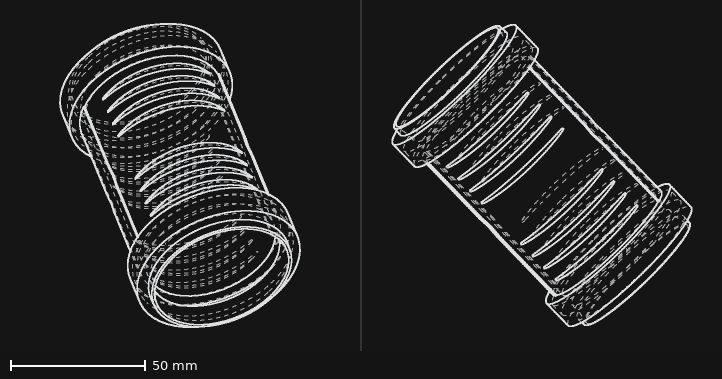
import cadquery as cq

length = 103.0
half_length = length / 2
bore_radius = 25.3

tube_radius = 27.5
waist_radius = 27.2
waist_half_width = 4.5

lip_length = 3.9
lip_tip_radius = 27.3
collar_radius = 31.8
collar_width = 11.7
collar_face_rise = 0.4
collar_overlap = 1.0
collar_outer_x = half_length - lip_length
collar_inner_x = collar_outer_x - collar_width

mouth_radius = 26.2
mouth_straight_depth = 1.0
mouth_depth = 4.5
groove_radius = 30.6
groove_outer_x = half_length - 8.7
groove_inner_x = half_length - 13.8

pad_height = 0.4
pad_width = 17.9

rib_axis_offset = 4.9
rib_peak = 29.6
rib_root_depth = 3.6
rib_base_width = 2.7
rib_tip_radius = 0.5
rib_count = 4
rib_pitch = 6.3
first_rib_x = 10.7


def revolve_about_x(profile, axis_height=0):
    return profile.revolve(360, (0, axis_height, 0), (1, axis_height, 0))


def waisted_core(extra_radius=0):
    """Solid of revolution spanning both collars, narrowest at the middle."""
    outer_radius = tube_radius + extra_radius
    middle_radius = waist_radius + extra_radius
    profile = (
        cq.Workplane("XZ")
        .moveTo(-collar_inner_x - collar_overlap, 0)
        .lineTo(-collar_inner_x - collar_overlap, outer_radius)
        .lineTo(-waist_half_width, outer_radius)
        .lineTo(0, middle_radius)
        .lineTo(waist_half_width, outer_radius)
        .lineTo(collar_inner_x + collar_overlap, outer_radius)
        .lineTo(collar_inner_x + collar_overlap, 0)
        .close()
    )
    return revolve_about_x(profile)


def collar_and_lip():
    """Right-hand collar with slightly conical faces and its projecting lip."""
    profile = (
        cq.Workplane("XZ")
        .moveTo(collar_inner_x - collar_face_rise, 0)
        .lineTo(collar_inner_x - collar_face_rise, tube_radius)
        .lineTo(collar_inner_x, collar_radius)
        .lineTo(collar_outer_x, collar_radius)
        .lineTo(collar_outer_x + collar_face_rise, tube_radius)
        .lineTo(half_length, lip_tip_radius)
        .lineTo(half_length, 0)
        .close()
    )
    return revolve_about_x(profile)


def end_cavity():
    """Right-hand half of the bore with its seal groove and tapered mouth."""
    profile = (
        cq.Workplane("XZ")
        .lineTo(0, bore_radius)
        .lineTo(groove_inner_x, bore_radius)
        .lineTo(groove_inner_x, groove_radius)
        .lineTo(groove_outer_x, groove_radius)
        .lineTo(groove_outer_x, bore_radius)
        .lineTo(half_length - mouth_depth, bore_radius)
        .lineTo(half_length - mouth_straight_depth, mouth_radius)
        .lineTo(half_length, mouth_radius)
        .lineTo(half_length, 0)
        .close()
    )
    return revolve_about_x(profile)


def crescent_rib(x):
    """Upper rib whose ends sink into the tube wall."""
    root = rib_peak - rib_root_depth
    shoulder = rib_peak - rib_tip_radius
    profile = (
        cq.Workplane("XZ")
        .moveTo(x - rib_base_width / 2, root)
        .lineTo(x - rib_tip_radius, shoulder)
        .threePointArc((x, rib_peak), (x + rib_tip_radius, shoulder))
        .lineTo(x + rib_base_width / 2, root)
        .close()
    )
    ring = revolve_about_x(profile, rib_axis_offset)
    upper_half = cq.Workplane("XY").box(
        length, 2 * collar_radius, collar_radius, centered=(True, True, False)
    )
    return ring.intersect(upper_half)


pad_slab = cq.Workplane("XY").box(length, 2 * collar_radius, pad_width)
body = waisted_core().union(waisted_core(pad_height).intersect(pad_slab))

for i in range(rib_count):
    for side in (-1, 1):
        rib = crescent_rib(side * (first_rib_x + i * rib_pitch))
        body = body.union(rib).union(rib.mirror("XY"))

collar = collar_and_lip()
body = body.union(collar).union(collar.mirror("YZ"))
cavity = end_cavity()
result = body.cut(cavity).cut(cavity.mirror("YZ"))